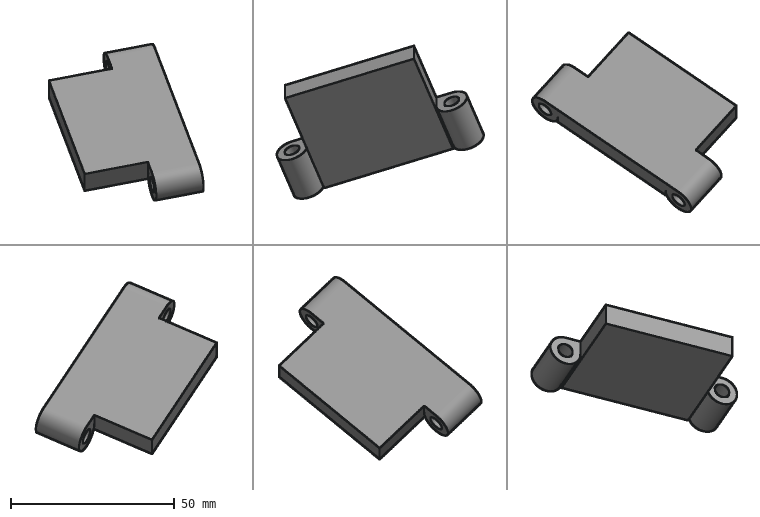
import cadquery as cq

overall_width = 62.0
overall_depth = 35.0
barrel_diameter = 10.0
barrel_length = 15.0
bore_diameter = 4.8
plate_thickness = 7.3

barrel_radius = barrel_diameter / 2
plate_width = overall_width - 2 * barrel_diameter
barrel_offset = overall_width / 2 - barrel_radius
top_z = barrel_radius
back_y = overall_depth / 2


def block(width, depth, height):
    """Block centred on X, flush with the top and back of the part."""
    return (
        cq.Workplane("XY")
        .box(width, depth, height, centered=(True, False, False))
        .translate((0, back_y - depth, top_z - height))
    )


def barrel_cylinders(diameter):
    """Cylinders along both barrel axes, running forward from the back face."""
    return (
        cq.Workplane("XZ", origin=(0, back_y, 0))
        .pushPoints([(-barrel_offset, 0), (barrel_offset, 0)])
        .circle(diameter / 2)
        .extrude(barrel_length)
    )


plate = block(plate_width, overall_depth, plate_thickness)

web = block(2 * barrel_offset, barrel_length, barrel_radius)

body = plate.union(web).union(barrel_cylinders(barrel_diameter))
result = body.cut(barrel_cylinders(bore_diameter))